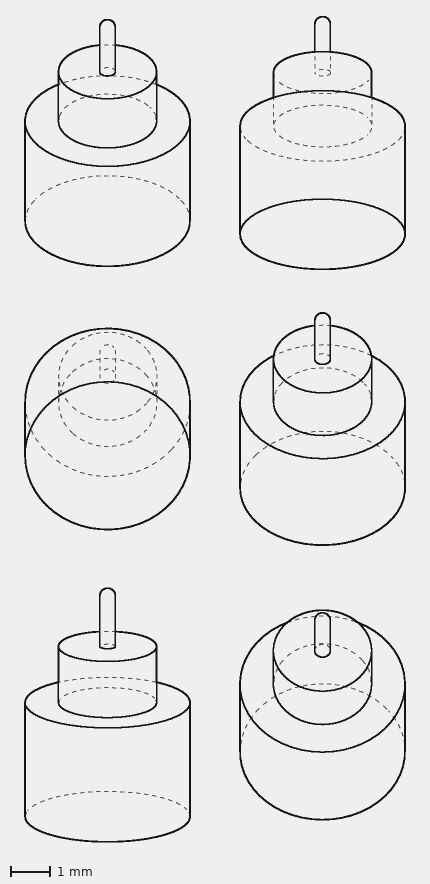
import cadquery as cq

total_height = 6.1
body_diameter = 4.2
body_height = 3.05
collar_diameter = 2.5
collar_height = 1.5
pin_diameter = 0.4

collar_top = body_height + collar_height
pin_radius = pin_diameter / 2
tip_center = total_height - pin_radius


def cylinder(diameter, bottom, top):
    """Upright cylinder on the Z axis between two heights."""
    return cq.Workplane("XY").workplane(offset=bottom).circle(diameter / 2).extrude(top - bottom)


def round_tipped_pin():
    """Centre pin with a hemispherical end."""
    shank = cylinder(pin_diameter, collar_top, tip_center)
    tip = cq.Workplane("XY").sphere(pin_radius).translate((0, 0, tip_center))
    return shank.union(tip)


body = cylinder(body_diameter, 0, body_height)
collar = cylinder(collar_diameter, body_height, collar_top)

result = body.union(collar).union(round_tipped_pin())